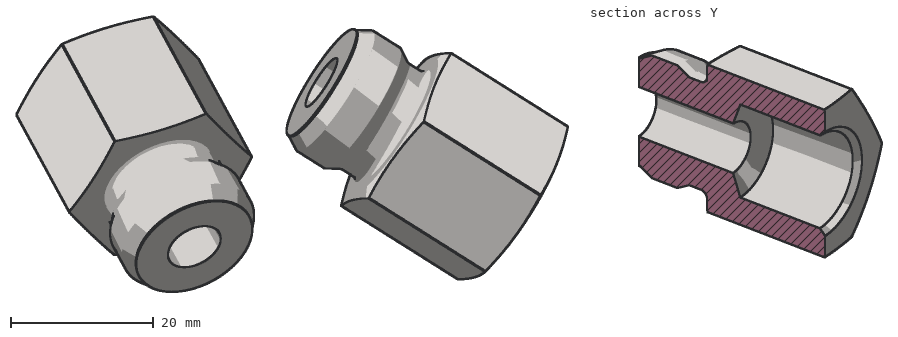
import cadquery as cq
import math

total_length = 33.0
hex_length = 21.0
across_flats = 24.0
corner_diameter = 27.62
hex_face_diameter = 23.0
hex_chamfer_angle = 15.0

neck_diameter = 17.6
collar_diameter = 20.0
neck_fillet_radius = 1.0
neck_straight_length = 1.85
bevel_angle = 30.0
end_land_length = 0.23
collar_edge_radius = 0.2

socket_diameter = 15.0
socket_mouth_diameter = 16.85
socket_mouth_angle = 45.0
socket_depth = 15.0
socket_tip_angle = 140.0
bore_diameter = 8.0


def tan_degrees(angle):
    return math.tan(math.radians(angle))


def revolve_about_x(profile):
    return profile.close().revolve(360, (0, 0, 0), (1, 0, 0))


def make_hex_body():
    """Hexagon with flats facing Z, blunted corners and both ends chamfered."""
    sharp_corner_diameter = across_flats / math.cos(math.radians(30))
    prism = cq.Workplane("YZ").polygon(6, sharp_corner_diameter).extrude(hex_length)

    face_radius = hex_face_diameter / 2
    corner_radius = corner_diameter / 2
    chamfer_length = (corner_radius - face_radius) * tan_degrees(hex_chamfer_angle)
    envelope = revolve_about_x(
        cq.Workplane("XY")
        .lineTo(0, face_radius)
        .lineTo(chamfer_length, corner_radius)
        .lineTo(hex_length - chamfer_length, corner_radius)
        .lineTo(hex_length, face_radius)
        .lineTo(hex_length, 0)
    )
    return prism.intersect(envelope)


def make_spigot():
    """Neck filleted into the hexagon and a collar beveled on both sides."""
    neck_radius = neck_diameter / 2
    collar_radius = collar_diameter / 2
    fillet_center_radius = neck_radius + neck_fillet_radius

    def fillet_point(center_x, angle):
        """Point on a neck fillet, at an angle from its lowest point toward +X."""
        turn = math.radians(angle)
        return (
            center_x + neck_fillet_radius * math.sin(turn),
            fillet_center_radius - neck_fillet_radius * math.cos(turn),
        )

    neck_start = hex_length + neck_fillet_radius
    neck_end = neck_start + neck_straight_length
    bevel_start_x, bevel_start_radius = fillet_point(neck_end, bevel_angle)
    collar_start = bevel_start_x + (collar_radius - bevel_start_radius) / tan_degrees(bevel_angle)
    land_start = total_length - end_land_length
    collar_end = land_start - (collar_radius - neck_radius) / tan_degrees(bevel_angle)

    spigot = revolve_about_x(
        cq.Workplane("XY")
        .moveTo(hex_length, 0)
        .lineTo(*fillet_point(neck_start, -90))
        .threePointArc(fillet_point(neck_start, -45), fillet_point(neck_start, 0))
        .lineTo(neck_end, neck_radius)
        .threePointArc(fillet_point(neck_end, bevel_angle / 2), (bevel_start_x, bevel_start_radius))
        .lineTo(collar_start, collar_radius)
        .lineTo(collar_end, collar_radius)
        .lineTo(land_start, neck_radius)
        .lineTo(total_length, neck_radius)
        .lineTo(total_length, 0)
    )
    collar_edges = cq.selectors.RadiusNthSelector(-1)
    return spigot.edges("%CIRCLE").edges(collar_edges).fillet(collar_edge_radius)


def make_bore():
    """Chamfered socket with a conical bottom that leads into the through bore."""
    mouth_radius = socket_mouth_diameter / 2
    socket_radius = socket_diameter / 2
    bore_radius = bore_diameter / 2
    mouth_length = (mouth_radius - socket_radius) / tan_degrees(socket_mouth_angle)
    tip_length = (socket_radius - bore_radius) / tan_degrees(socket_tip_angle / 2)
    return revolve_about_x(
        cq.Workplane("XY")
        .lineTo(0, mouth_radius)
        .lineTo(mouth_length, socket_radius)
        .lineTo(socket_depth, socket_radius)
        .lineTo(socket_depth + tip_length, bore_radius)
        .lineTo(total_length, bore_radius)
        .lineTo(total_length, 0)
    )


result = make_hex_body().union(make_spigot()).cut(make_bore())